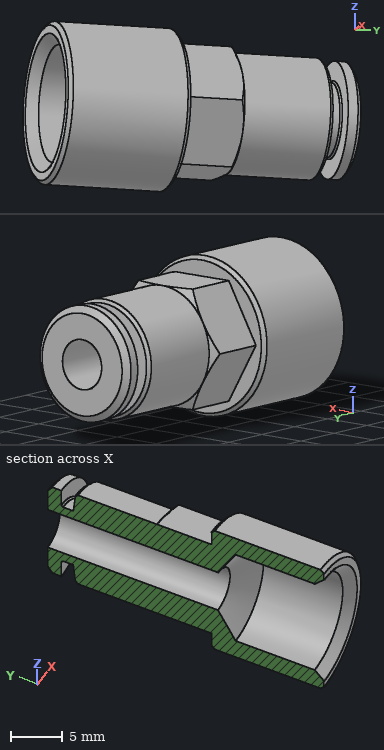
import cadquery as cq
import math

total_length = 30.6

socket_length = 12.5
hex_length = 6.0
body_length = 9.1
neck_length = 1.5

socket_diameter = 16.0
body_diameter = 12.0
neck_diameter = 7.3
flange_diameter = 11.6
hex_across_flats = 12.0
hex_sides = 6

socket_chamfer = 0.4
hex_chamfer_angle = 30.0
body_chamfer = 0.35
body_end_rise = 0.2
neck_chamfer = 0.18
flange_chamfer_length = 0.52
flange_chamfer_width = 0.7

bore_diameter = 11.5
bore_depth = 9.8
bore_tip_angle = 118.0
mouth_diameter = 13.6
mouth_angle = 90.0
passage_diameter = 5.0

front_y = -total_length / 2
back_y = total_length / 2
hex_y = front_y + socket_length
body_y = hex_y + hex_length
neck_y = body_y + body_length
flange_y = neck_y + neck_length


def cone_length(large_diameter, small_diameter, included_angle):
    """Axial length of a cone between two diameters."""
    return (large_diameter - small_diameter) / 2 / math.tan(math.radians(included_angle / 2))


def cylinder(diameter, start_y, end_y):
    """Solid cylinder on the Y axis."""
    base = cq.Workplane("XZ", origin=(0, start_y, 0)).circle(diameter / 2)
    return base.extrude(start_y - end_y)


def revolve_profile(profile):
    """Turn a closed (radius, y) profile about the Y axis."""
    return profile.close().revolve(360, (0, 0, 0), (0, 1, 0))


def make_socket():
    return cylinder(socket_diameter, front_y, hex_y).edges().chamfer(socket_chamfer)


def make_hexagon():
    """Hexagon with flats facing +Z and -Z, its back corners cut by a turned cone."""
    across_corners = hex_across_flats / math.cos(math.radians(180 / hex_sides))
    prism = (
        cq.Workplane("XZ", origin=(0, hex_y, 0))
        .polygon(hex_sides, across_corners)
        .extrude(-hex_length)
    )
    corner_radius = across_corners / 2
    face_radius = hex_across_flats / 2
    chamfer_length = (corner_radius - face_radius) * math.tan(math.radians(hex_chamfer_angle))
    envelope = revolve_profile(
        cq.Workplane("XY")
        .moveTo(0, hex_y)
        .lineTo(corner_radius, hex_y)
        .lineTo(corner_radius, body_y - chamfer_length)
        .lineTo(face_radius, body_y)
        .lineTo(0, body_y)
    )
    return prism.intersect(envelope)


def make_body():
    """Cylinder with a chamfered back rim and a shallow conical end around the neck."""
    body_radius = body_diameter / 2
    return revolve_profile(
        cq.Workplane("XY")
        .moveTo(0, body_y)
        .lineTo(body_radius, body_y)
        .lineTo(body_radius, neck_y - body_chamfer)
        .lineTo(body_radius - body_chamfer, neck_y)
        .lineTo(neck_diameter / 2, neck_y + body_end_rise)
        .lineTo(0, neck_y + body_end_rise)
    )


def make_release_ring():
    """Neck and flange of the release ring, with a small cone where they meet."""
    neck_radius = neck_diameter / 2
    flange_radius = flange_diameter / 2
    return revolve_profile(
        cq.Workplane("XY")
        .moveTo(0, neck_y)
        .lineTo(neck_radius, neck_y)
        .lineTo(neck_radius, flange_y - neck_chamfer)
        .lineTo(neck_radius + neck_chamfer, flange_y)
        .lineTo(flange_radius, flange_y)
        .lineTo(flange_radius, back_y - flange_chamfer_length)
        .lineTo(flange_radius - flange_chamfer_width, back_y)
        .lineTo(0, back_y)
    )


def make_bore():
    """Socket bore with a countersunk mouth and a drill-point end, plus the through passage."""
    mouth_length = cone_length(mouth_diameter, bore_diameter, mouth_angle)
    tip_length = cone_length(bore_diameter, passage_diameter, bore_tip_angle)
    bore_end_y = front_y + bore_depth
    return revolve_profile(
        cq.Workplane("XY")
        .moveTo(0, front_y)
        .lineTo(mouth_diameter / 2, front_y)
        .lineTo(bore_diameter / 2, front_y + mouth_length)
        .lineTo(bore_diameter / 2, bore_end_y)
        .lineTo(passage_diameter / 2, bore_end_y + tip_length)
        .lineTo(passage_diameter / 2, back_y)
        .lineTo(0, back_y)
    )


outside = make_socket().union(make_hexagon()).union(make_body()).union(make_release_ring())
result = outside.cut(make_bore())